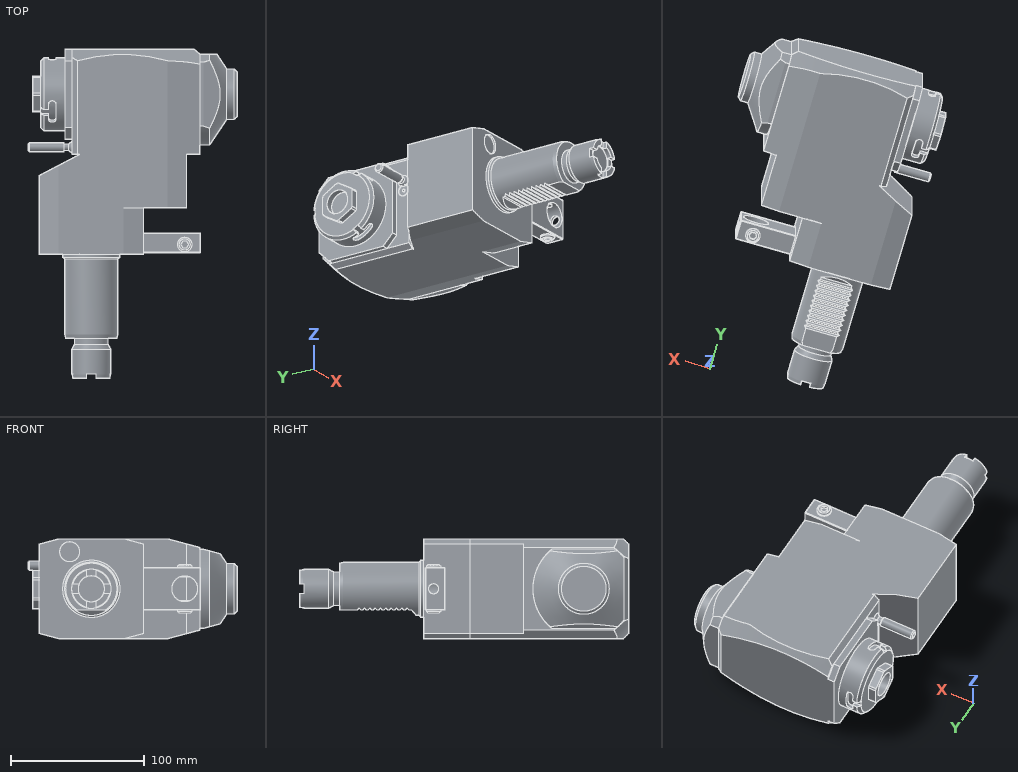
import cadquery as cq
import math


HALF_HEIGHT = 37.5
TAPER = math.tan(math.radians(15))
BODY_BACK = 154.0
BLOCK_HALF_WIDTH = 39.2
BLOCK_TAPER_LENGTH = 14.8
SHOULDER_Y = 35.0
STEP_X = 71.5
HEAD_FRONT = 75.0
HEAD_LEFT = -14.6
HEAD_RIGHT = 81.4
HEAD_TAPER_LENGTH = 24.0
HEAD_BEVEL = (4.3, 3.7)
HEAD_CORNER = (4.2, 3.6)
SLOPE_TOP_X = -9.0
SLOPE_LOW_Y = 59.2
BACK_CONE_X = 23.5
BACK_CONE_Y = 27.0
BACK_CONE_RADIUS = 123.0
BODY_PLUG = (-16.25, 27.8, 7.5, 1.5)

SHANK_RADIUS = 20.0
SHANK_LENGTH = 63.0
SHANK_CHAMFER = (0.8, 2.8)
COLLAR_RADIUS = 21.5
COLLAR_LENGTH = 2.2
COLLAR_TAPER_END = 3.4
NECK_RADIUS = 12.7
NECK_END = 67.4
CAP_RADIUS = 14.75
CAP_START = 71.2
CAP_END = 93.0
CAP_CHAMFER = (0.4, 2.6)
CAP_BORE_RADIUS = 9.8
CAP_BORE_DEPTH = 4.0
CAP_SLOT_WIDTH = 7.0
CAP_SLOT_DEPTH = 3.2
RACK_FLAT_Z = -16.0
RACK_START = 9.0
RACK_RUNOUT = 3.5
TOOTH_PITCH = 4.0
TOOTH_COUNT = 10
TOOTH_DEPTH = 1.4
TOOTH_HALF_WIDTH = 1.4
FIRST_TOOTH = 12.3

SPINDLE_Y = 120.2
PLATE_HALF = BODY_BACK - SPINDLE_Y
PLATE_CORNER = 8.8
PLATE_LEFT = -19.9
RING_LEFT = -38.0
RING_RADIUS = 27.5
RING_CHAMFER = 2.4
HOOK_COUNT = 3
HOOK_SLOT_X = -29.3
HOOK_SLOT_WIDTH = 5.5
HOOK_SLOT_LENGTH = 18.6
HOOK_NOTCH_WIDTH = 5.0
HOOK_FLOOR_RADIUS = 24.7
HEX_LEFT = -44.0
HEX_FLATS = 27.0
HEX_CORNER_RADIUS = 15.1
HEX_BORE_RADIUS = 9.4

CAP_FLANGE_RADIUS = 38.2
CAP_FLANGE_END = 88.8
CAP_CONE_END = 101.6
CAP_FLAT_Y = 150.2
CAP_FLAT_Z = 29.7
CAP_FLAT_END = 84.3
NOSE_RADIUS = 19.1
NOSE_END = 109.5
NOSE_CHAMFER = 2.3

PIPE_Y = 80.4
PIPE_Z = 17.4
PIPE_RADIUS = 3.5
PIPE_TIP = -47.33
PIPE_TIP_CHAMFER = 0.9
PIPE_SHOULDER = -20.5
PIPE_NECK_RADIUS = 2.6
PIPE_NECK_END = -17.0
PIPE_BASE_RADIUS = 4.4
PORT_Z = 10.0
PORT_RADIUS = 4.4
PORT_DEPTH = 0.5
PORT_HOLE_RADIUS = 1.0
PORT_HOLE_DEPTH = 3.0

BRACKET_Y = (1.2, 16.2)
BRACKET_RIGHT = 82.0
BRACKET_HALF_HEIGHT = 16.0
BRACKET_CHAMFER = 0.5
BRACKET_BORE_X = 70.1
BRACKET_BORE_RADIUS = 9.7
SIDE_HOLE_RADIUS = 3.8
SCREW_Y = 7.5
SCREW_RADIUS = 5.4
SCREW_TOP = 18.2
SCREW_CHAMFER = 1.2
SCREW_NOSE_RADIUS = 3.5
SCREW_NOSE_Z = 8.9
SOCKET_FLATS = 5.0
SOCKET_DEPTH = 4.0


def extrude_y(points, start, end):
    """Extrude an (X, Z) outline from Y = start to Y = end."""
    return cq.Workplane("XZ", origin=(0, start, 0)).polyline(points).close().extrude(start - end)


def box_between(low, high):
    size = [b - a for a, b in zip(low, high)]
    return cq.Workplane("XY", origin=low).box(*size, centered=False)


def cylinder_x(radius, start, end, y, z=0):
    return cq.Workplane("YZ", origin=(start, y, z)).circle(radius).extrude(end - start)


def turned_x(profile, y, z=0):
    """Revolve an (X, radius) profile about the line through (y, z) along X."""
    plane = cq.Workplane("XY", origin=(0, y, z))
    return plane.polyline(profile).close().revolve(360, (0, 0, 0), (1, 0, 0))


def mirrored_outline(upper):
    """Close an outline whose lower half mirrors the upper points."""
    return upper + [(x, -z) for x, z in reversed(upper)]


def make_shank_block():
    edge_z = HALF_HEIGHT - BLOCK_TAPER_LENGTH * TAPER
    inner_x = BLOCK_HALF_WIDTH - BLOCK_TAPER_LENGTH
    profile = mirrored_outline([
        (-BLOCK_HALF_WIDTH, edge_z),
        (-inner_x, HALF_HEIGHT),
        (inner_x, HALF_HEIGHT),
        (BLOCK_HALF_WIDTH, edge_z),
    ])
    outline = [
        (-BLOCK_HALF_WIDTH, 0),
        (BLOCK_HALF_WIDTH, 0),
        (BLOCK_HALF_WIDTH, SHOULDER_Y),
        (SLOPE_TOP_X, SHOULDER_Y),
        (SLOPE_TOP_X, HEAD_FRONT),
        (-BLOCK_HALF_WIDTH, SLOPE_LOW_Y),
    ]
    plan = cq.Workplane("XY", origin=(0, 0, -HALF_HEIGHT)).polyline(outline).close()
    return extrude_y(profile, 0, HEAD_FRONT).intersect(plan.extrude(2 * HALF_HEIGHT))


def make_head():
    bevel_x, bevel_z = HEAD_BEVEL
    corner_x, corner_y = HEAD_CORNER
    profile = mirrored_outline([
        (HEAD_LEFT, HALF_HEIGHT - bevel_z),
        (HEAD_LEFT + bevel_x, HALF_HEIGHT),
        (HEAD_RIGHT - HEAD_TAPER_LENGTH, HALF_HEIGHT),
        (HEAD_RIGHT, HALF_HEIGHT - HEAD_TAPER_LENGTH * TAPER),
    ])
    outline = [
        (SLOPE_TOP_X, SHOULDER_Y),
        (STEP_X, SHOULDER_Y),
        (STEP_X, HEAD_FRONT),
        (HEAD_RIGHT, HEAD_FRONT),
        (HEAD_RIGHT, BODY_BACK - corner_y),
        (HEAD_RIGHT - corner_x, BODY_BACK),
        (HEAD_LEFT, BODY_BACK),
        (HEAD_LEFT, HEAD_FRONT),
        (SLOPE_TOP_X, HEAD_FRONT),
    ]
    plan = cq.Workplane("XY", origin=(0, 0, -HALF_HEIGHT)).polyline(outline).close()
    head = extrude_y(profile, SHOULDER_Y, BODY_BACK).intersect(plan.extrude(2 * HALF_HEIGHT))
    double_cone = (
        cq.Workplane("XZ", origin=(BACK_CONE_X, BACK_CONE_Y, 0))
        .moveTo(0, -HALF_HEIGHT)
        .lineTo(BACK_CONE_RADIUS, -HALF_HEIGHT)
        .lineTo(BACK_CONE_RADIUS + HALF_HEIGHT, 0)
        .lineTo(BACK_CONE_RADIUS, HALF_HEIGHT)
        .lineTo(0, HALF_HEIGHT)
        .close()
        .revolve(360, (0, 0, 0), (0, 1, 0))
    )
    return head.intersect(double_cone)


def cut_body_plug(body):
    x, z, radius, depth = BODY_PLUG
    return body.cut(cq.Workplane("XZ", origin=(x, 0, z)).circle(radius).extrude(-depth))


def make_shank():
    chamfer_r, chamfer_y = SHANK_CHAMFER
    cap_chamfer_r, cap_chamfer_y = CAP_CHAMFER
    profile = [
        (0, 0),
        (COLLAR_RADIUS, 0),
        (COLLAR_RADIUS, -COLLAR_LENGTH),
        (SHANK_RADIUS, -COLLAR_TAPER_END),
        (SHANK_RADIUS, chamfer_y - SHANK_LENGTH),
        (SHANK_RADIUS - chamfer_r, -SHANK_LENGTH),
        (NECK_RADIUS, -SHANK_LENGTH),
        (NECK_RADIUS, -NECK_END),
        (CAP_RADIUS, -CAP_START),
        (CAP_RADIUS, cap_chamfer_y - CAP_END),
        (CAP_RADIUS - cap_chamfer_r, -CAP_END),
        (0, -CAP_END),
    ]
    shank = cq.Workplane("XY").polyline(profile).close().revolve(360, (0, 0, 0), (0, 1, 0))
    return cut_cap_slots(cut_rack(shank))


def cut_rack(shank):
    """Flat along the underside of the shank, crossed by V grooves."""
    flat = [
        (-RACK_START + RACK_RUNOUT, -SHANK_RADIUS),
        (-RACK_START, RACK_FLAT_Z),
        (-SHANK_LENGTH, RACK_FLAT_Z),
        (-SHANK_LENGTH, -SHANK_RADIUS),
    ]
    side = cq.Workplane("YZ", origin=(-SHANK_RADIUS, 0, 0))
    shank = shank.cut(side.polyline(flat).close().extrude(2 * SHANK_RADIUS))
    for index in range(TOOTH_COUNT):
        y = -FIRST_TOOTH - index * TOOTH_PITCH
        groove = [
            (y - TOOTH_HALF_WIDTH, RACK_FLAT_Z),
            (y, RACK_FLAT_Z + TOOTH_DEPTH),
            (y + TOOTH_HALF_WIDTH, RACK_FLAT_Z),
        ]
        shank = shank.cut(side.polyline(groove).close().extrude(2 * SHANK_RADIUS))
    return shank


def cut_cap_slots(shank):
    """End recess of the cap and the two crossing drive slots."""
    face = cq.Workplane("XZ", origin=(0, -CAP_END, 0))
    shank = shank.cut(face.circle(CAP_BORE_RADIUS).extrude(-CAP_BORE_DEPTH))
    shank = shank.cut(face.rect(2 * CAP_RADIUS, CAP_SLOT_WIDTH).extrude(-CAP_SLOT_DEPTH))
    return shank.cut(face.rect(CAP_SLOT_WIDTH, 2 * CAP_RADIUS).extrude(-CAP_SLOT_DEPTH))


def make_plate():
    plane = cq.Workplane("YZ", origin=(PLATE_LEFT, SPINDLE_Y, 0))
    plate = plane.rect(2 * PLATE_HALF, 2 * PLATE_HALF).extrude(HEAD_LEFT - PLATE_LEFT)
    return plate.edges("|X").chamfer(PLATE_CORNER)


def make_ring():
    """Round ring with hook spanner slots, each opened to the outer face by a notch."""
    ring = cylinder_x(RING_RADIUS, RING_LEFT, PLATE_LEFT, SPINDLE_Y).faces("<X").chamfer(RING_CHAMFER)
    floor_core = cylinder_x(HOOK_FLOOR_RADIUS, RING_LEFT, PLATE_LEFT, SPINDLE_Y)
    notch_length = HOOK_SLOT_X - RING_LEFT
    axis_plane = cq.Workplane("XZ", origin=(HOOK_SLOT_X, SPINDLE_Y, 0))
    slot = axis_plane.slot2D(HOOK_SLOT_LENGTH, HOOK_SLOT_WIDTH, 90).extrude(-RING_RADIUS)
    notch = axis_plane.center(-notch_length / 2, 0).rect(notch_length, HOOK_NOTCH_WIDTH)
    hook = slot.union(notch.extrude(-RING_RADIUS)).cut(floor_core)
    for index in range(HOOK_COUNT):
        angle = index * 360 / HOOK_COUNT
        ring = ring.cut(hook.rotate((0, SPINDLE_Y, 0), (1, SPINDLE_Y, 0), angle))
    return ring


def make_hex():
    length = RING_LEFT - HEX_LEFT
    across_corners = HEX_FLATS / math.cos(math.pi / 6)
    plane = cq.Workplane("YZ", origin=(HEX_LEFT, SPINDLE_Y, 0))
    hexagon = plane.polygon(6, across_corners).extrude(length)
    hexagon = hexagon.rotate((0, SPINDLE_Y, 0), (1, SPINDLE_Y, 0), 90)
    hexagon = hexagon.intersect(plane.circle(HEX_CORNER_RADIUS).extrude(length))
    return hexagon.cut(plane.circle(HEX_BORE_RADIUS).extrude(length))


def make_nose():
    profile = [
        (HEAD_RIGHT, 0),
        (HEAD_RIGHT, CAP_FLANGE_RADIUS),
        (CAP_FLANGE_END, CAP_FLANGE_RADIUS),
        (CAP_CONE_END, NOSE_RADIUS),
        (NOSE_END - NOSE_CHAMFER, NOSE_RADIUS),
        (NOSE_END, NOSE_RADIUS - NOSE_CHAMFER),
        (NOSE_END, 0),
    ]
    flats = mirrored_outline([
        (HEAD_RIGHT, CAP_FLAT_Z),
        (CAP_FLAT_END, CAP_FLAT_Z),
        (NOSE_END, CAP_FLAT_Z - (NOSE_END - CAP_FLAT_END) * TAPER),
    ])
    envelope = extrude_y(flats, SPINDLE_Y - CAP_FLANGE_RADIUS, CAP_FLAT_Y)
    return turned_x(profile, SPINDLE_Y).intersect(envelope)


def make_pipe():
    profile = [
        (PIPE_TIP, 0),
        (PIPE_TIP, PIPE_RADIUS - PIPE_TIP_CHAMFER),
        (PIPE_TIP + PIPE_TIP_CHAMFER, PIPE_RADIUS),
        (PIPE_SHOULDER, PIPE_RADIUS),
        (PIPE_SHOULDER, PIPE_NECK_RADIUS),
        (PIPE_NECK_END, PIPE_NECK_RADIUS),
        (HEAD_LEFT, PIPE_BASE_RADIUS),
        (HEAD_LEFT, 0),
    ]
    return turned_x(profile, PIPE_Y, PIPE_Z)


def cut_port(body):
    """Shallow round seat with a small hole below the coolant pipe."""
    body = body.cut(cylinder_x(PORT_RADIUS, HEAD_LEFT, HEAD_LEFT + PORT_DEPTH, PIPE_Y, PORT_Z))
    return body.cut(cylinder_x(PORT_HOLE_RADIUS, HEAD_LEFT, HEAD_LEFT + PORT_HOLE_DEPTH, PIPE_Y, PORT_Z))


def make_set_screw():
    """Upper clamping screw: nose in the bore, socket at the top."""
    base = cq.Workplane("XY", origin=(BRACKET_BORE_X, SCREW_Y, SCREW_NOSE_Z))
    nose = base.circle(SCREW_NOSE_RADIUS).extrude(BRACKET_HALF_HEIGHT - SCREW_NOSE_Z)
    top = base.workplane(offset=SCREW_TOP - SCREW_NOSE_Z)
    head = top.circle(SCREW_RADIUS).extrude(BRACKET_BORE_RADIUS - SCREW_TOP)
    head = head.faces(">Z").chamfer(SCREW_CHAMFER)
    socket = top.polygon(6, SOCKET_FLATS / math.cos(math.pi / 6)).extrude(-SOCKET_DEPTH)
    return nose.union(head).cut(socket)


def make_bracket():
    front, back = BRACKET_Y
    bracket = box_between(
        (BLOCK_HALF_WIDTH, front, -BRACKET_HALF_HEIGHT),
        (BRACKET_RIGHT, back, BRACKET_HALF_HEIGHT),
    )
    bracket = bracket.faces(">X or >Z or <Z").edges("not <X").chamfer(BRACKET_CHAMFER)
    bore = cq.Workplane("XZ", origin=(BRACKET_BORE_X, front, 0)).circle(BRACKET_BORE_RADIUS)
    bracket = bracket.cut(bore.extrude(front - back))
    bracket = bracket.cut(cylinder_x(SIDE_HOLE_RADIUS, BRACKET_BORE_X, BRACKET_RIGHT, SCREW_Y))
    screw = make_set_screw()
    return bracket.union(screw).union(screw.mirror("XY"))


body = make_shank_block().union(make_head())
body = cut_port(cut_body_plug(body))
result = body
for attached in (
    make_shank(),
    make_plate(),
    make_ring(),
    make_hex(),
    make_nose(),
    make_pipe(),
    make_bracket(),
):
    result = result.union(attached)